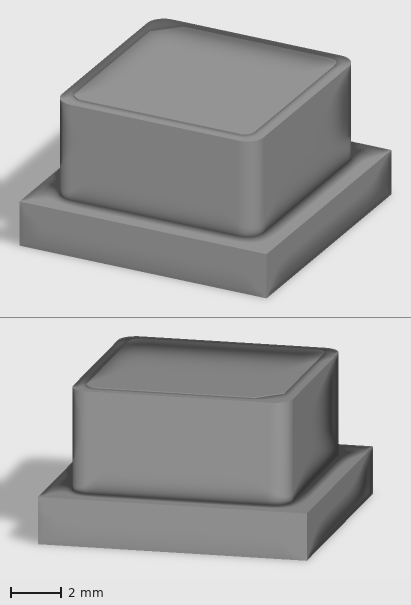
import cadquery as cq

base_side = 11.0
base_height = 1.94

total_height = 6.18
housing_side = 9.0
housing_corner_radius = 0.75

pad_side = 8.0
pad_height = 0.05
pad_corner_radius = 0.5
pad_bevel = 1.0

housing_height = total_height - base_height - pad_height


def square_block(side, height, bottom):
    """Square block centred on the Z axis, standing on the given level."""
    return cq.Workplane("XY").workplane(offset=bottom).rect(side, side).extrude(height)


def make_base():
    return square_block(base_side, base_height, 0)


def make_housing():
    block = square_block(housing_side, housing_height, base_height)
    return block.edges("|Z").fillet(housing_corner_radius)


def make_pad():
    """Pad with three rounded corners and a bevel at the -X, +Y corner."""
    pad = square_block(pad_side, pad_height, base_height + housing_height)
    pad = pad.edges("|Z and (>X or <Y)").fillet(pad_corner_radius)
    return pad.faces("<X").edges("|Z and >Y").chamfer(pad_bevel)


result = make_base().union(make_housing()).union(make_pad())